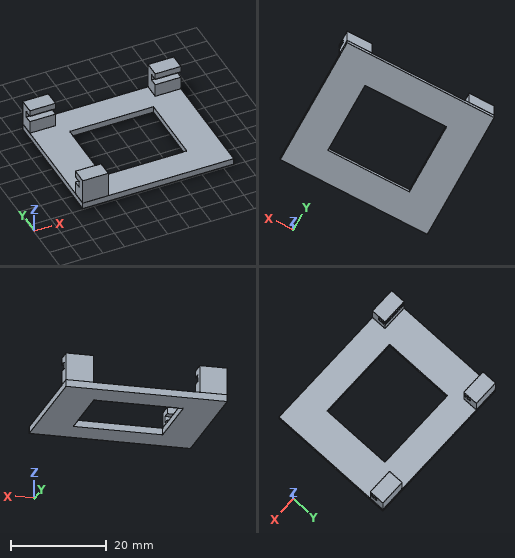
import cadquery as cq

plate_length = 35.0
plate_width = 29.5
plate_thickness = 1.5

window_length = 19.35
window_width = 16.35

overall_height = 7.5
clip_length = 6.0
clip_depth = 3.57

slot_height = 1.4
slot_depth = 1.8
lip_thickness = 1.5

clip_corners = [(-1, -1), (-1, 1), (1, 1)]


def make_plate():
    """Flat frame with its underside at Z = 0."""
    plate = cq.Workplane("XY").box(
        plate_length, plate_width, plate_thickness, centered=(True, True, False)
    )
    return plate.faces(">Z").workplane().rect(window_length, window_width).cutThruAll()


def make_clip(x_side, y_side):
    """C-shaped clip standing on one corner of the plate, flush with its edges."""
    outer_y = y_side * plate_width / 2
    inner_y = outer_y - y_side * clip_depth
    slot_end_y = inner_y + y_side * slot_depth
    slot_top = overall_height - lip_thickness
    slot_bottom = slot_top - slot_height
    start_x = plate_length / 2 - clip_length if x_side > 0 else -plate_length / 2

    profile = [
        (outer_y, plate_thickness),
        (inner_y, plate_thickness),
        (inner_y, slot_bottom),
        (slot_end_y, slot_bottom),
        (slot_end_y, slot_top),
        (inner_y, slot_top),
        (inner_y, overall_height),
        (outer_y, overall_height),
    ]
    return cq.Workplane("YZ", origin=(start_x, 0, 0)).polyline(profile).close().extrude(clip_length)


plate = make_plate()
clips = [make_clip(x_side, y_side) for x_side, y_side in clip_corners]

result = cq.Compound.makeCompound([plate.val(), *[clip.val() for clip in clips]])